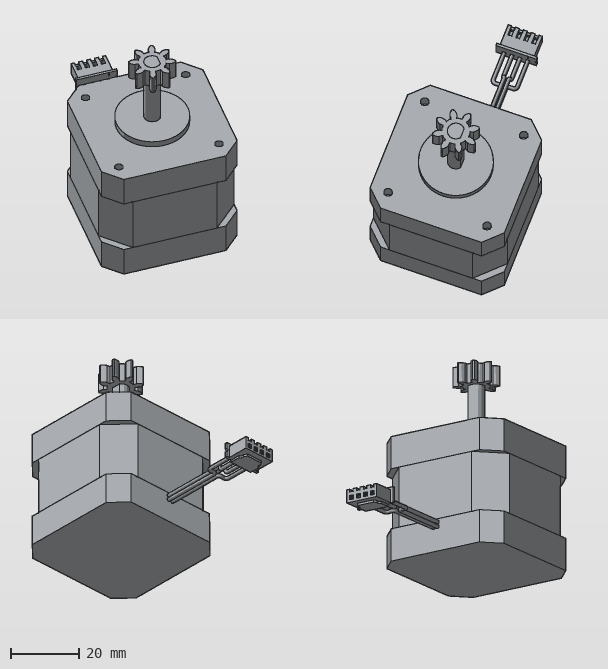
import cadquery as cq
import math

motor_width = 42.0
cap_height = 10.0
cap_corner = 5.2
stator_height = 18.5
stator_corner = 8.0
boss_diameter = 22.0
boss_height = 2.0
screw_hole_diameter = 2.5
screw_hole_spacing = 31.0
screw_hole_depth = 4.5
drill_point_angle = 118.0

motor_side_x = -motor_width / 2
stator_top = cap_height + stator_height
motor_top = stator_top + cap_height
boss_top = motor_top + boss_height

overall_height = 62.5
shaft_diameter = 5.0
shaft_flat_offset = 2.0

pinion_teeth = 8
pinion_tip_diameter = 13.8
pinion_backlash = 0.15
pressure_angle = math.radians(20)
pinion_root_radius = 4.15
pinion_height = 6.0
pinion_turn = 28.5
flank_steps = 4

wire_count = 4
wire_diameter = 1.2
wire_plug_z = 7.35
plug_y = -0.1
wire_pitch = 2.5
cable_y = -0.1
cable_pitch_y = 1.4
cable_pitch_z = 1.4
cable_lower_z = 7.5
outer_bend_radius = 1.0
inner_bend_radius = 0.9
outer_cross_x = {1: -41.1, -1: -40.9}
inner_cross_x = -43.35
inner_cross_lean = 0.2

plug_front_x = -58.8
plug_body_length = 7.0
plug_body_width = 10.7
plug_bottom_z = 5.8
plug_body_height = 4.1
flange_thickness = 0.8
flange_width = 12.7
flange_height = 4.8
contact_channel = wire_diameter
mouth_throat = 0.7
mouth_depth = 0.3
slot_length = 3.0
slot_depth = 0.9
bar_thickness = 0.8
notch_depth = 0.5
notch_height = 1.0
notch_z = 8.15
key_height = 0.7
key_width = 8.0
key_base_length = 3.5
key_total_length = 5.8
key_tongue_width = 6.7
key_tip_width = 5.6
key_tip_length = 1.1
key_inner_fillet = 0.4
mark_thickness = 0.2
mark_width = 0.2
mark_height = 1.1

plug_body_back_x = plug_front_x + plug_body_length
plug_back_x = plug_body_back_x + flange_thickness
plug_body_top_z = plug_bottom_z + plug_body_height
flange_top_z = plug_bottom_z + flange_height
wire_start_x = plug_front_x + bar_thickness
first_wire_y = plug_y + (wire_count - 1) / 2 * wire_pitch
plug_wire_ys = [first_wire_y - index * wire_pitch for index in range(wire_count)]


def box_between(x_range, y_range, z_range):
    """Box spanning the given (low, high) ranges."""
    size = [high - low for low, high in (x_range, y_range, z_range)]
    corner = (x_range[0], y_range[0], z_range[0])
    return cq.Workplane("XY").box(*size, centered=False).translate(corner)


def square_block(base_z, height, corner):
    """Square motor block with chamfered vertical edges."""
    block = cq.Workplane("XY").workplane(offset=base_z).rect(motor_width, motor_width).extrude(height)
    return block.edges("|Z").chamfer(corner)


def make_top_cap():
    """Upper end cap with its round boss and four blind screw holes."""
    cap = square_block(stator_top, cap_height, cap_corner)
    boss = cq.Workplane("XY").workplane(offset=motor_top).circle(boss_diameter / 2).extrude(boss_height)
    radius = screw_hole_diameter / 2
    point_depth = radius / math.tan(math.radians(drill_point_angle / 2))
    drill = (
        cq.Workplane("XZ")
        .moveTo(0, motor_top)
        .lineTo(radius, motor_top)
        .lineTo(radius, motor_top - screw_hole_depth)
        .lineTo(0, motor_top - screw_hole_depth - point_depth)
        .close()
        .revolve(360, (0, 0, 0), (0, 1, 0))
    )
    cap = cap.union(boss)
    for side_x in (-1, 1):
        for side_y in (-1, 1):
            place = (side_x * screw_hole_spacing / 2, side_y * screw_hole_spacing / 2, 0)
            cap = cap.cut(drill.translate(place))
    return cap


def make_shaft():
    """D-shaped shaft standing on the boss."""
    radius = shaft_diameter / 2
    half_flat = math.sqrt(radius**2 - shaft_flat_offset**2)
    return (
        cq.Workplane("XY")
        .workplane(offset=boss_top)
        .moveTo(-half_flat, shaft_flat_offset)
        .threePointArc((0, -radius), (half_flat, shaft_flat_offset))
        .close()
        .extrude(overall_height - boss_top)
    )


def polar(radius, angle):
    return (radius * math.cos(angle), radius * math.sin(angle))


def involute(angle):
    return math.tan(angle) - angle


def make_pinion(shaft):
    """Spur gear with involute flanks, bored to fit the shaft."""
    gear_module = pinion_tip_diameter / (pinion_teeth + 2)
    pitch_radius = gear_module * pinion_teeth / 2
    tip_radius = pinion_tip_diameter / 2
    base_radius = pitch_radius * math.cos(pressure_angle)
    pitch_half_angle = math.pi / (2 * pinion_teeth) - pinion_backlash / (2 * pitch_radius)
    base_half_angle = pitch_half_angle + involute(pressure_angle)
    tooth_step = 2 * math.pi / pinion_teeth

    flank = []
    for step in range(flank_steps + 1):
        radius = base_radius + (tip_radius - base_radius) * step / flank_steps
        flank.append((radius, base_half_angle - involute(math.acos(base_radius / radius))))
    tip_half_angle = flank[-1][1]

    first = math.radians(pinion_turn)
    outline = cq.Workplane("XY").workplane(offset=overall_height - pinion_height)
    outline = outline.moveTo(*polar(pinion_root_radius, first - base_half_angle))
    for tooth in range(pinion_teeth):
        middle = first + tooth * tooth_step
        rising = [polar(radius, middle - half) for radius, half in flank]
        falling = [polar(radius, middle + half) for radius, half in reversed(flank)]
        outline = (
            outline.lineTo(*rising[0])
            .spline(rising[1:], includeCurrent=True)
            .threePointArc(polar(tip_radius, middle), polar(tip_radius, middle + tip_half_angle))
            .spline(falling[1:], includeCurrent=True)
            .lineTo(*polar(pinion_root_radius, middle + base_half_angle))
            .threePointArc(
                polar(pinion_root_radius, middle + tooth_step / 2),
                polar(pinion_root_radius, middle + tooth_step - base_half_angle),
            )
        )
    return outline.close().extrude(pinion_height).cut(shaft)


def make_wire(corners, bend_radius):
    """Round wire along a polyline whose inner corners are rounded to the bend radius."""
    points = [cq.Vector(*corner) for corner in corners]
    edges = []
    start = points[0]
    for before, corner, after in zip(points, points[1:], points[2:]):
        back = (before - corner).normalized()
        ahead = (after - corner).normalized()
        half_angle = back.getAngle(ahead) / 2
        tangent_length = bend_radius / math.tan(half_angle)
        middle_distance = bend_radius / math.sin(half_angle) - bend_radius
        bend_start = corner + back * tangent_length
        bend_middle = corner + (back + ahead).normalized() * middle_distance
        bend_end = corner + ahead * tangent_length
        edges.append(cq.Edge.makeLine(start, bend_start))
        edges.append(cq.Edge.makeThreePointArc(bend_start, bend_middle, bend_end))
        start = bend_end
    edges.append(cq.Edge.makeLine(start, points[-1]))
    path = cq.Workplane(obj=cq.Wire.assembleEdges(edges))
    section = cq.Workplane("YZ", origin=corners[0]).circle(wire_diameter / 2)
    return section.sweep(path)


def make_wires():
    """Outer wires feed the lower row of the cable, inner wires the upper row."""
    wires = []
    for index, wire_y in enumerate(plug_wire_ys):
        side = 1 if index < wire_count / 2 else -1
        if index in (0, wire_count - 1):
            radius, cross_x, lean, cable_z = outer_bend_radius, outer_cross_x[side], 0, cable_lower_z
        else:
            radius, cross_x, lean = inner_bend_radius, inner_cross_x, inner_cross_lean
            cable_z = cable_lower_z + cable_pitch_z
        end_y = cable_y + side * cable_pitch_y / 2
        corners = [
            (wire_start_x, wire_y, wire_plug_z),
            (cross_x - lean / 2, wire_y, wire_plug_z),
            (cross_x + lean / 2, end_y, cable_z),
            (motor_side_x, end_y, cable_z),
        ]
        wires.append(make_wire(corners, radius))
    return wires


def make_plug_key():
    """Stepped key on the plug underside: wide at the back, a tapered tongue in front."""
    base_front_x = plug_back_x - key_base_length
    key_front_x = plug_back_x - key_total_length
    half_outline = [
        (key_front_x, key_tip_width / 2),
        (key_front_x + key_tip_length, key_tongue_width / 2),
        (base_front_x, key_tongue_width / 2),
        (base_front_x, key_width / 2),
        (plug_back_x, key_width / 2),
    ]
    mirrored = [(x, -y) for x, y in reversed(half_outline)]
    key = (
        cq.Workplane("XY", origin=(0, plug_y, plug_bottom_z - key_height))
        .polyline(half_outline + mirrored)
        .close()
        .extrude(key_height)
    )
    for side in (-1, 1):
        corner = (base_front_x, plug_y + side * key_tongue_width / 2, plug_bottom_z - key_height / 2)
        key = key.edges(cq.selectors.NearestToPointSelector(corner)).fillet(key_inner_fillet)
    return key


def make_plug(wires):
    """Connector housing with flange, key and four contact channels."""
    def across(width, middle=plug_y):
        return (middle - width / 2, middle + width / 2)

    body = box_between((plug_front_x, plug_body_back_x), across(plug_body_width),
                       (plug_bottom_z, plug_body_top_z))
    flange = box_between((plug_body_back_x, plug_back_x), across(flange_width),
                         (plug_bottom_z, flange_top_z))
    mark = box_between((plug_back_x, plug_back_x + mark_thickness), across(mark_width, first_wire_y),
                       (flange_top_z - mark_height, flange_top_z))
    plug = body.union(flange).union(mark).union(make_plug_key())

    edge_y = plug_y + flange_width / 2
    notch = (
        cq.Workplane("YZ", origin=(plug_body_back_x, 0, 0))
        .moveTo(edge_y, notch_z - notch_height / 2)
        .lineTo(edge_y - notch_depth, notch_z)
        .lineTo(edge_y, notch_z + notch_height / 2)
        .close()
        .extrude(flange_thickness)
    )
    plug = plug.cut(notch)

    slot_end_x = plug_front_x + slot_length
    for wire, wire_y in zip(wires, plug_wire_ys):
        mouth = box_between((plug_front_x, plug_front_x + mouth_depth), across(contact_channel, wire_y),
                            (wire_plug_z - contact_channel / 2, wire_plug_z + contact_channel / 2))
        throat = box_between((plug_front_x, wire_start_x), across(mouth_throat, wire_y),
                             (wire_plug_z - mouth_throat / 2, wire_plug_z + mouth_throat / 2))
        channel = box_between((wire_start_x, slot_end_x), across(contact_channel, wire_y),
                              (wire_plug_z - contact_channel / 2, plug_body_top_z))
        front_slot = box_between((plug_front_x, slot_end_x), across(contact_channel, wire_y),
                                 (plug_body_top_z - slot_depth, plug_body_top_z))
        plug = plug.cut(mouth).cut(throat).cut(channel).cut(front_slot).cut(wire)
    return plug


bottom_cap = square_block(0, cap_height, cap_corner)
stator = square_block(cap_height, stator_height, stator_corner)
top_cap = make_top_cap()
shaft = make_shaft()
pinion = make_pinion(shaft)
wires = make_wires()
plug = make_plug(wires)

bodies = [bottom_cap, stator, top_cap, shaft, pinion, plug, *wires]
result = cq.Compound.makeCompound([body.solids().val() for body in bodies])